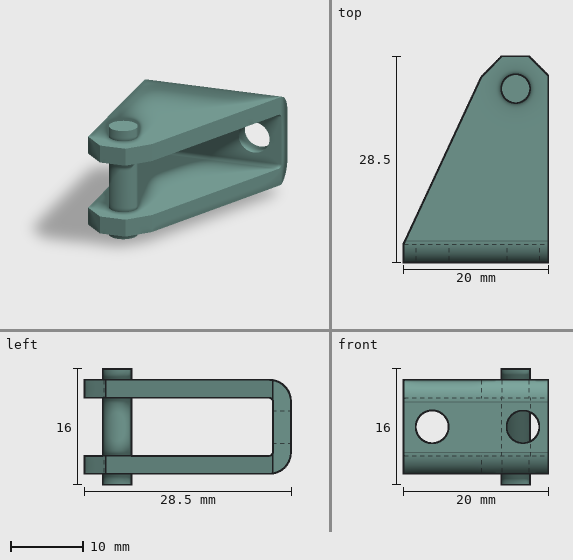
import cadquery as cq

width = 20.0
length = 28.5
height = 13.0
thickness = 2.5
inner_radius = 0.5
outer_radius = inner_radius + thickness

taper_end_x = 10.75
taper_end_y = 25.6
tip_left_x = 13.6
tip_right_x = 17.33
right_chamfer = width - tip_right_x

pin_diameter = 4.0
pin_length = 16.0
pin_x = 15.5
pin_y = 24.0

hole_diameter = 4.5
hole_x_positions = (4.0, 16.5)


def channel():
    """U-shaped channel, centred on Z = 0 and open towards +Y."""
    outer = (
        cq.Workplane("XY")
        .box(width, length, height, centered=(False, False, True))
        .edges("|X and <Y")
        .fillet(outer_radius)
    )
    cavity = (
        cq.Workplane("XY")
        .box(width, length - thickness, height - 2 * thickness, centered=(False, False, True))
        .translate((0, thickness, 0))
        .edges("|X and <Y")
        .fillet(inner_radius)
    )
    return outer.cut(cavity)


def arm_outline():
    """Tapered plan shape, tall enough to trim both arms."""
    return (
        cq.Workplane("XY")
        .polyline([
            (0, 0),
            (width, 0),
            (width, length - right_chamfer),
            (tip_right_x, length),
            (tip_left_x, length),
            (taper_end_x, taper_end_y),
            (0, thickness),
        ])
        .close()
        .extrude(height / 2, both=True)
    )


def mounting_holes():
    """Cutters for the round holes through the wall."""
    return (
        cq.Workplane("XZ")
        .pushPoints([(x, 0) for x in hole_x_positions])
        .circle(hole_diameter / 2)
        .extrude(-outer_radius)
    )


def cross_pin():
    """Pin passing through both arms and standing proud of each."""
    return (
        cq.Workplane("XY")
        .center(pin_x, pin_y)
        .circle(pin_diameter / 2)
        .extrude(pin_length / 2, both=True)
    )


result = channel().intersect(arm_outline()).cut(mounting_holes()).union(cross_pin())